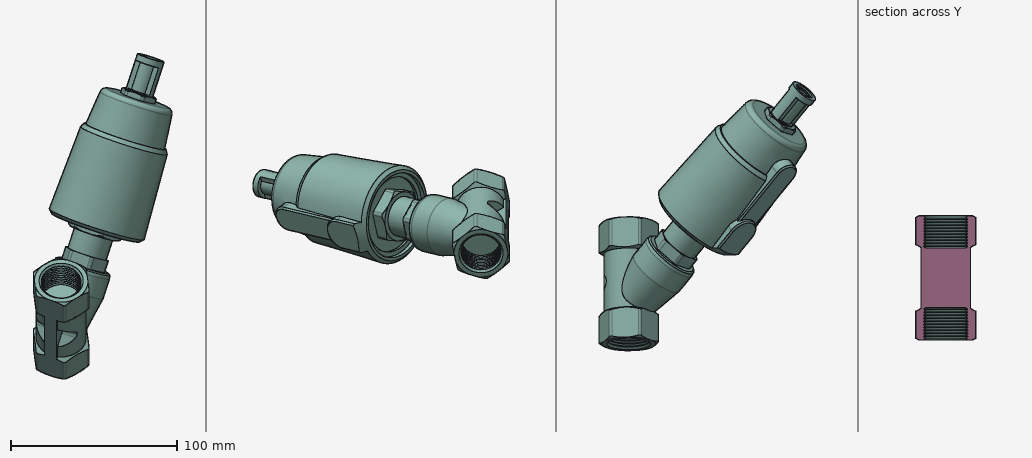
import cadquery as cq
import math


BODY_LENGTH = 75.0
PORT_HEX_FLATS = 32.0
PORT_HEX_LENGTH = 19.2
PORT_HEX_CORNER_R = 2.0
PORT_FACE_R = 16.2
PIPE_R = 15.1
HEX_CHAMFER_ANGLE = 30

THREAD_CREST_R = 12.0
THREAD_ROOT_R = 13.2
THREAD_PITCH = 1.814
THREAD_TURNS = 10
PORT_MOUTH_R = 13.3

RIB_WIDTH = 7.9
RIB_LENGTH = BODY_LENGTH - PORT_HEX_LENGTH
NOTCH_ANGLE = 40
NOTCH_VERTEX_Y = -4.6
NOTCH_ROOT_R = 3.6

BRANCH_ELEVATION = 40
BRANCH_ORIGIN_Z = -14.6
BRANCH_FACE = 43.2
BRANCH_FACE_R = 16.0
BRANCH_EDGE = 42.4
BRANCH_EDGE_R = 17.2
BRANCH_COLLAR = 40.3
BRANCH_R = 17.6
BRANCH_TAPER = 27.7
BRANCH_TAPER_ANGLE = 10.5
BRANCH_ROOT = 4.0

NECK_R = 12.2
NECK_HEX_FLATS = 24.8
NECK_HEX_LENGTH = 7.5
HEX_CORNER_R = 2.4

FLANGE_HEX_FLATS = 30.1
FLANGE_HEX_START = 63.7

HOUSING_START = 67.3
HOUSING_MAX_R = 30.15
HOUSING_CHAMFER = 2.2
HOUSING_TOP_R = 27.5
HOUSING_END = 122.6
SHOULDER_R = 25.9
SHOULDER_END = 125.4
CAP_BASE_R = 25.0
CAP_TOP_R = 22.5
CAP_END = 149.5
CAP_FILLET = 3.5

RECESS_R = 26.0
RECESS_DEPTH = 2.9
INNER_RECESS_R = 23.1
INNER_RECESS_DEPTH = 4.7

TOP_HEX_FLATS = 20.0
TOP_HEX_END = 153.0

STEM_R = 8.5
STEM_CORE_R = 5.95
STEM_WEB = 8.0
STEM_END = 175.2
STEM_HEAD = 4.0
STEM_FOOT_R = 7.6
STEM_FOOT_HEIGHT = 0.7
STEM_BORE_R = 5.9
STEM_BORE_DEPTH = 1.2
STEM_INNER_BORE_R = 4.8
STEM_INNER_BORE_DEPTH = 2.0

RAIL_WIDTH = 16.0
RAIL_END = 139.7
RAIL_OFFSET = 29.9
PAD_WIDTH = 20.2
PAD_END = 96.5
PAD_OFFSET = 32.3
RAIL_EDGE_CHAMFER = 1.0
RAIL_INNER_OFFSET = 15.0


def branch_plane(station):
    """Plane across the branch axis; its local Y points away from the ports, down and outward."""
    lean = math.radians(BRANCH_ELEVATION)
    axis = (0, math.cos(lean), math.sin(lean))
    origin = (0, station * axis[1], BRANCH_ORIGIN_Z + station * axis[2])
    return cq.Plane(origin=origin, xDir=(1, 0, 0), normal=axis)


def turned(profile):
    """Solid turned about Z from (radius, height) points, closed along the axis."""
    outline = [(0, profile[0][1])] + profile + [(0, profile[-1][1])]
    return cq.Workplane("XZ").polyline(outline).close().revolve(360, (0, 0), (0, 1))


def on_branch(solid):
    """Move a shape built along Z onto the branch axis."""
    return cq.Workplane(solid.val().moved(branch_plane(0).location))


def hex_bar(flats, corner_r, start, end):
    """Hexagonal bar along Z, rounded at its corners, with corners toward +X and -X."""
    bar = cq.Workplane("XY").workplane(offset=start).polygon(6, 2 * flats / math.sqrt(3)).extrude(end - start)
    return bar.edges("|Z").fillet(corner_r)


def turn_down(bar, flats, face, opposite, face_r):
    """Chamfer one end of a hexagonal bar conically, leaving a round face of the given radius."""
    corner = flats / math.sqrt(3)
    rise = (corner - face_r) * math.tan(math.radians(HEX_CHAMFER_ANGLE))
    shoulder = face + math.copysign(rise, opposite - face)
    return bar.intersect(turned([(face_r, face), (corner, shoulder), (corner, opposite)]))


def threaded_port():
    """Cutter for the upper port: a chamfered mouth followed by V-shaped thread rings and a flat floor."""
    top = BODY_LENGTH / 2
    height = top - (PORT_MOUTH_R - THREAD_CREST_R)
    profile = [(PORT_MOUTH_R, top), (THREAD_CREST_R, height)]
    for _ in range(THREAD_TURNS):
        profile.append((THREAD_ROOT_R, height - THREAD_PITCH / 2))
        height -= THREAD_PITCH
        profile.append((THREAD_CREST_R, height))
    return turned(profile)


def side_notch():
    """V-shaped cutter running along X, open toward -Y, with a rounded root."""
    reach = PORT_HEX_FLATS
    open_y = NOTCH_VERTEX_Y - reach
    half_height = reach * math.tan(math.radians(NOTCH_ANGLE))
    wedge = (
        cq.Workplane("YZ")
        .polyline([(NOTCH_VERTEX_Y, 0), (open_y, half_height), (open_y, -half_height)])
        .close()
        .extrude(reach, both=True)
    )
    return wedge.edges("|X and >Y").fillet(NOTCH_ROOT_R)


def make_valve_body():
    """Pipe with a notched front and a rib, an inclined branch, and a threaded hexagon at each end."""
    half_length = BODY_LENGTH / 2
    hex_inner = half_length - PORT_HEX_LENGTH
    upper_hex = hex_bar(PORT_HEX_FLATS, PORT_HEX_CORNER_R, hex_inner, half_length)
    upper_hex = turn_down(upper_hex, PORT_HEX_FLATS, half_length, hex_inner, PORT_FACE_R)
    upper_hex = turn_down(upper_hex, PORT_HEX_FLATS, hex_inner, half_length, PIPE_R)
    pipe = turned([(PIPE_R, -hex_inner), (PIPE_R, hex_inner)])

    taper_run = BRANCH_TAPER - BRANCH_ROOT
    root_r = BRANCH_R - taper_run * math.tan(math.radians(BRANCH_TAPER_ANGLE))
    branch = on_branch(turned([
        (root_r, BRANCH_ROOT),
        (BRANCH_R, BRANCH_TAPER),
        (BRANCH_R, BRANCH_COLLAR),
        (BRANCH_EDGE_R, BRANCH_EDGE),
        (BRANCH_FACE_R, BRANCH_FACE),
    ]))

    rib_depth = PORT_HEX_FLATS / 2
    rib = cq.Workplane("XY").box(RIB_WIDTH, rib_depth, RIB_LENGTH).translate((0, -rib_depth / 2, 0))
    body = pipe.cut(side_notch()).union(rib).union(branch)
    body = body.union(upper_hex).union(upper_hex.mirror("XY"))
    port = threaded_port()
    return body.cut(port).cut(port.mirror("XY"))


def make_stem():
    """Flatted stem: a round core with two side webs under a full round head with a stepped bore."""
    head_start = STEM_END - STEM_HEAD
    shank = head_start - CAP_END
    core = turned([(STEM_CORE_R, CAP_END), (STEM_CORE_R, STEM_END)])
    webs = turned([(STEM_R, CAP_END), (STEM_R, head_start)]).intersect(
        cq.Workplane("XY").box(2 * STEM_R, STEM_WEB, shank).translate((0, 0, CAP_END + shank / 2))
    )
    foot = turned([(STEM_FOOT_R, CAP_END), (STEM_FOOT_R, TOP_HEX_END + STEM_FOOT_HEIGHT)])
    head = turned([(STEM_R, head_start), (STEM_R, STEM_END)])
    bore = turned([
        (STEM_INNER_BORE_R, STEM_END - STEM_INNER_BORE_DEPTH),
        (STEM_INNER_BORE_R, STEM_END - STEM_BORE_DEPTH),
        (STEM_BORE_R, STEM_END - STEM_BORE_DEPTH),
        (STEM_BORE_R, STEM_END),
    ])
    return core.union(webs).union(foot).union(head).cut(bore)


def housing_rail(width, end, offset):
    """Flat rail along the outer side of the housing, with a round end and a chamfered outer edge."""
    radius = width / 2
    rail = (
        cq.Workplane("XZ")
        .moveTo(-radius, HOUSING_START)
        .lineTo(radius, HOUSING_START)
        .lineTo(radius, end - radius)
        .threePointArc((0, end), (-radius, end - radius))
        .close()
        .extrude(-offset)
        .faces(">Y")
        .chamfer(RAIL_EDGE_CHAMFER)
    )
    clearance = cq.Workplane("XY").circle(RAIL_INNER_OFFSET).extrude(RAIL_END)
    foot_r = HOUSING_MAX_R - HOUSING_CHAMFER
    rise = PAD_OFFSET
    foot = turned([(foot_r, HOUSING_START), (foot_r + rise, HOUSING_START + rise), (foot_r + rise, RAIL_END)])
    return rail.cut(clearance).intersect(foot)


def make_housing():
    """Tapered housing with a shouldered cap, two side rails and a stepped recess in its lower face."""
    shell = turned([
        (HOUSING_MAX_R - HOUSING_CHAMFER, HOUSING_START),
        (HOUSING_MAX_R, HOUSING_START + HOUSING_CHAMFER),
        (HOUSING_TOP_R, HOUSING_END),
        (SHOULDER_R, SHOULDER_END),
        (CAP_BASE_R, SHOULDER_END),
        (CAP_TOP_R, CAP_END),
    ])
    shell = shell.faces(">Z").edges().fillet(CAP_FILLET)
    shell = shell.union(housing_rail(RAIL_WIDTH, RAIL_END, RAIL_OFFSET))
    shell = shell.union(housing_rail(PAD_WIDTH, PAD_END, PAD_OFFSET))
    inner_floor = HOUSING_START + INNER_RECESS_DEPTH
    recess_floor = HOUSING_START + RECESS_DEPTH
    recess = turned([
        (RECESS_R, HOUSING_START),
        (RECESS_R, recess_floor),
        (INNER_RECESS_R, recess_floor),
        (INNER_RECESS_R, inner_floor),
    ])
    return shell.cut(recess)


def make_actuator():
    """Housing with its neck, hexagons and stem, standing on the face of the branch."""
    inner_floor = HOUSING_START + INNER_RECESS_DEPTH
    neck_hex_end = BRANCH_FACE + NECK_HEX_LENGTH
    neck_hex = hex_bar(NECK_HEX_FLATS, HEX_CORNER_R, BRANCH_FACE, neck_hex_end)
    neck = turned([(NECK_R, BRANCH_FACE), (NECK_R, inner_floor)])
    flange_hex = hex_bar(FLANGE_HEX_FLATS, HEX_CORNER_R, FLANGE_HEX_START, inner_floor)
    flange_hex = turn_down(
        flange_hex, FLANGE_HEX_FLATS, FLANGE_HEX_START, inner_floor, FLANGE_HEX_FLATS / 2
    )
    top_hex = hex_bar(TOP_HEX_FLATS, HEX_CORNER_R, CAP_END, TOP_HEX_END)
    top_hex = turn_down(top_hex, TOP_HEX_FLATS, TOP_HEX_END, CAP_END, TOP_HEX_FLATS / 2)
    actuator = make_housing()
    for piece in (neck_hex, neck, flange_hex, top_hex, make_stem()):
        actuator = actuator.union(piece)
    return on_branch(actuator)


valve_body = make_valve_body()
actuator = make_actuator()

result = cq.Compound.makeCompound([valve_body.val(), actuator.val()])